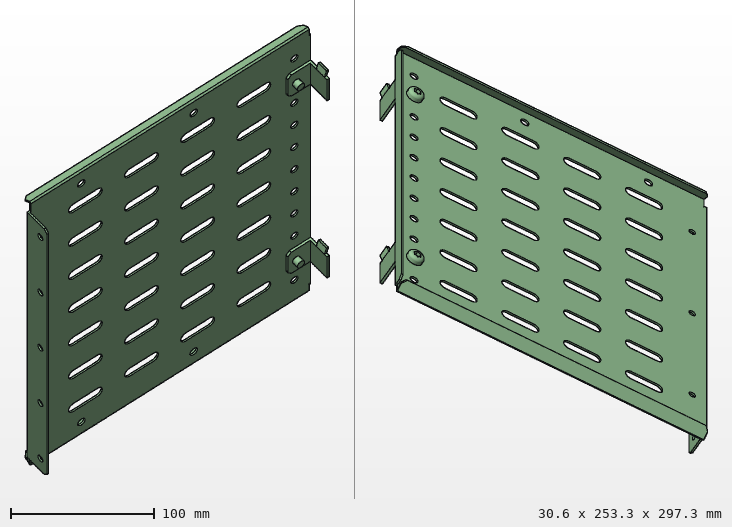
import cadquery as cq
import math


SHEET = 1.5
HEIGHT = 297.3
PANEL_WIDTH = 251.5
FLANGE_REACH = 22.3
FLANGE_HEIGHT = 277.0
FLANGE_CHAMFER = 3.0
SIDE_REACH = 7.0
SIDE_HEIGHT = 281.2
LIP_REACH = 8.3
LIP_ANGLE = 30
LIP_START = 2.5
LIP_END = 250.3
LIP_CHAMFER = 3.3
FOLD_DROP = 1.2

SCREW_SPACING = 200.0
SCREW_STEPS = 4
GRID = SCREW_SPACING / 2 / SCREW_STEPS
COLUMN_Y = 237.0
COLUMN_STEPS = 5
COLUMN_HOLE = 6.2
SMALL_HOLE_Y = 12.0
SMALL_HOLE = 5.0
EDGE_HOLE_FIRST_Y = 47.3
EDGE_HOLE_Z = 134.7
EDGE_HOLE_PITCH = 4 * GRID
EDGE_HOLE = 6.5
FLANGE_HOLE_X = 15.0
FLANGE_HOLE = 5.5
FLANGE_HOLE_COUNT = 5
FLANGE_HOLE_PITCH = 2.5 * GRID
SLOT_LENGTH = 30.0
SLOT_WIDTH = 9.0
SLOT_COLUMNS = 4
SLOT_ROWS = 7
SLOT_FIRST_Y = 50.8
SLOT_PITCH_Y = 2 * GRID
SLOT_PITCH_Z = 1.5 * GRID

BRACKET_SHEET = 2.0
BRACKET_HEIGHT = 23.8
BRACKET_WIDTH = 22.0
BRACKET_CHAMFER = 3.0
TAB_START_X = 10.0
TAB_WIDTH = 9.2
TAB_RISE = 4.8
TAB_OFFSET = 1.8

SHANK_DIAMETER = 6.5
SHANK_END_X = 9.0
HEAD_DIAMETER = 12.5
HEAD_HEIGHT = 5.0
HEAD_RIM = 3.0
HEAD_FACE_DIAMETER = 7.7
HEAD_BULGE = (5.6, 4.2)
SOCKET_SIZE = 5.0
SOCKET_DEPTH = 2.7

SCREW_HEIGHTS = (-SCREW_SPACING / 2, SCREW_SPACING / 2)


def block(x0, x1, y0, y1, z0, z1):
    """Box between two opposite corners."""
    return cq.Workplane("XY").box(x1 - x0, y1 - y0, z1 - z0, centered=False).translate((x0, y0, z0))


def rod_along_x(diameter, x0, x1, y, z):
    """Cylinder along X."""
    return cq.Workplane("YZ", origin=(x0, y, z)).circle(diameter / 2).extrude(x1 - x0)


def make_lip():
    """Top lip: folded from the upper edge of the panel, sloping down to the -X side."""
    slope = math.radians(LIP_ANGLE)
    crest_z = HEIGHT / 2
    tip_z = crest_z - LIP_REACH * math.tan(slope)
    lip = (
        cq.Workplane("XZ", origin=(0, LIP_START, 0))
        .moveTo(0, crest_z - SHEET / math.cos(slope))
        .lineTo(SHEET, crest_z - SHEET / math.cos(slope))
        .lineTo(SHEET, crest_z - FOLD_DROP)
        .lineTo(0, crest_z)
        .lineTo(-LIP_REACH, tip_z)
        .lineTo(-LIP_REACH + SHEET * math.sin(slope), tip_z - SHEET * math.cos(slope))
        .close()
        .extrude(LIP_START - LIP_END)
    )
    blunt_tip_y = (LIP_START + LIP_CHAMFER, LIP_END - LIP_CHAMFER)
    plan = (
        cq.Workplane("XY", origin=(0, 0, crest_z - LIP_REACH))
        .polyline(
            [
                (SHEET, LIP_START),
                (LIP_CHAMFER - LIP_REACH, LIP_START),
                (-LIP_REACH, blunt_tip_y[0]),
                (-LIP_REACH, blunt_tip_y[1]),
                (LIP_CHAMFER - LIP_REACH, LIP_END),
                (SHEET, LIP_END),
            ]
        )
        .close()
        .extrude(LIP_REACH)
    )
    return lip.intersect(plan)


def make_slots():
    """Cutters for the array of horizontal slots."""
    centres = [
        (SLOT_FIRST_Y + column * SLOT_PITCH_Y, (row - (SLOT_ROWS - 1) / 2) * SLOT_PITCH_Z)
        for column in range(SLOT_COLUMNS)
        for row in range(SLOT_ROWS)
    ]
    return cq.Workplane("YZ").pushPoints(centres).slot2D(SLOT_LENGTH, SLOT_WIDTH).extrude(SHEET)


def make_panel_holes(diameter, centres):
    """Cutters for round holes through the panel at the given (Y, Z) centres."""
    return cq.Workplane("YZ").pushPoints(centres).circle(diameter / 2).extrude(SHEET)


def make_rear_flange():
    """Flange along the -Y edge, pointing to +X, with its row of holes."""
    flange = block(0, FLANGE_REACH, 0, SHEET, -FLANGE_HEIGHT / 2, FLANGE_HEIGHT / 2)
    flange = flange.edges("|Y and >X").chamfer(FLANGE_CHAMFER)
    middle = (FLANGE_HOLE_COUNT - 1) / 2
    centres = [
        (FLANGE_HOLE_X, (number - middle) * FLANGE_HOLE_PITCH) for number in range(FLANGE_HOLE_COUNT)
    ]
    holes = cq.Workplane("XZ").pushPoints(centres).circle(FLANGE_HOLE / 2).extrude(-SHEET)
    return flange.cut(holes)


def make_side_flange():
    """Flange along the +Y edge, pointing to -X."""
    flange = block(
        -SIDE_REACH, SHEET, PANEL_WIDTH - SHEET, PANEL_WIDTH, -SIDE_HEIGHT / 2, SIDE_HEIGHT / 2
    )
    return flange.edges("|Y and <X").chamfer(FLANGE_CHAMFER)


def make_panel():
    """Sheet metal panel with two flanges, two lips, slots and holes."""
    top_lip = make_lip()
    panel = (
        block(0, SHEET, LIP_START, LIP_END, FOLD_DROP - HEIGHT / 2, HEIGHT / 2 - FOLD_DROP)
        .union(make_rear_flange())
        .union(block(0, SHEET, 0, LIP_START, -FLANGE_HEIGHT / 2, FLANGE_HEIGHT / 2))
        .union(make_side_flange())
        .union(top_lip)
        .union(top_lip.mirror("XY"))
    )
    screw_centres = [(COLUMN_Y, z) for z in SCREW_HEIGHTS]
    plain_column = [
        (COLUMN_Y, step * GRID)
        for step in range(-COLUMN_STEPS, COLUMN_STEPS + 1)
        if abs(step) != SCREW_STEPS
    ]
    small = [(SMALL_HOLE_Y, z) for z in (SCREW_HEIGHTS[0], 0, SCREW_HEIGHTS[1])]
    edge_columns = (EDGE_HOLE_FIRST_Y, EDGE_HOLE_FIRST_Y + EDGE_HOLE_PITCH)
    edge = [(y, z) for y in edge_columns for z in (-EDGE_HOLE_Z, EDGE_HOLE_Z)]
    return (
        panel.cut(make_slots())
        .cut(make_panel_holes(COLUMN_HOLE, plain_column))
        .cut(make_panel_holes(SHANK_DIAMETER, screw_centres))
        .cut(make_panel_holes(SMALL_HOLE, small))
        .cut(make_panel_holes(EDGE_HOLE, edge))
    )


def make_bracket(z):
    """Angle bracket behind the panel, with a tab on its flange that leans out to +Y."""
    bottom = z - BRACKET_HEIGHT / 2
    top = z + BRACKET_HEIGHT / 2
    inner_y = PANEL_WIDTH - BRACKET_SHEET
    base = block(SHEET, SHEET + BRACKET_SHEET, PANEL_WIDTH - BRACKET_WIDTH, PANEL_WIDTH, bottom, top)
    base = base.edges("|X and <Y").chamfer(BRACKET_CHAMFER)
    flange = block(SHEET, FLANGE_REACH, inner_y, PANEL_WIDTH, bottom, top)
    lean = math.atan2(TAB_OFFSET, TAB_RISE)
    tab = (
        cq.Workplane("YZ", origin=(TAB_START_X, 0, 0))
        .polyline(
            [
                (inner_y, top),
                (PANEL_WIDTH, top),
                (PANEL_WIDTH + TAB_OFFSET, top + TAB_RISE),
                (
                    PANEL_WIDTH + TAB_OFFSET - BRACKET_SHEET * math.cos(lean),
                    top + TAB_RISE + BRACKET_SHEET * math.sin(lean),
                ),
            ]
        )
        .close()
        .extrude(TAB_WIDTH)
    )
    hole = rod_along_x(SHANK_DIAMETER, SHEET, SHEET + BRACKET_SHEET, COLUMN_Y, z)
    return base.union(flange).union(tab).cut(hole)


def make_screw(z):
    """Screw along X: domed head with a hexagon socket, and a plain shank."""
    bulge_radius, bulge_height = HEAD_BULGE
    body = (
        cq.Workplane("XY")
        .moveTo(SHANK_END_X, 0)
        .lineTo(SHANK_END_X, -SHANK_DIAMETER / 2)
        .lineTo(0, -SHANK_DIAMETER / 2)
        .lineTo(0, -HEAD_DIAMETER / 2)
        .lineTo(-HEAD_RIM, -HEAD_DIAMETER / 2)
        .threePointArc((-bulge_height, -bulge_radius), (-HEAD_HEIGHT, -HEAD_FACE_DIAMETER / 2))
        .lineTo(-HEAD_HEIGHT, 0)
        .close()
        .revolve(360, (0, 0), (1, 0))
        .translate((0, COLUMN_Y, z))
    )
    socket = (
        cq.Workplane("YZ", origin=(-HEAD_HEIGHT, COLUMN_Y, z))
        .polygon(6, SOCKET_SIZE, circumscribed=True)
        .extrude(SOCKET_DEPTH)
    )
    return body.cut(socket)


panel = make_panel()
brackets = [make_bracket(z) for z in SCREW_HEIGHTS]
screws = [make_screw(z) for z in SCREW_HEIGHTS]

result = cq.Compound.makeCompound(
    [
        panel.val(),
        *[bracket.val() for bracket in brackets],
        *[screw.val() for screw in screws],
    ]
)